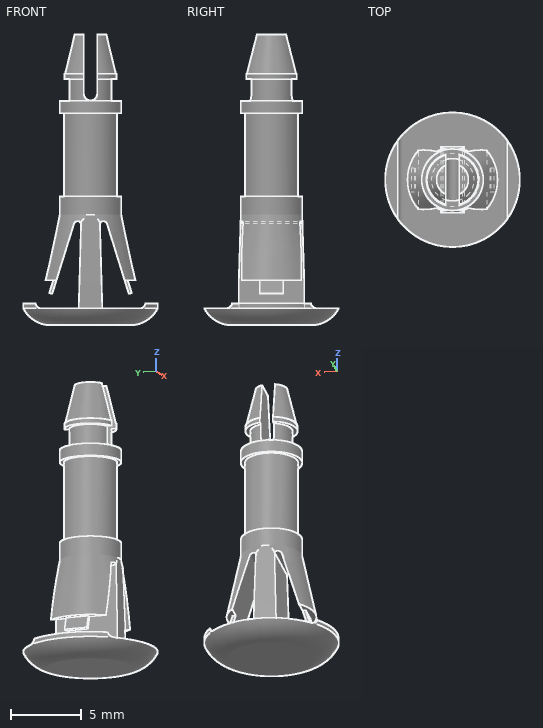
import cadquery as cq
import math

disk_radius = 4.77
disk_bottom_radius = 3.12
dome_mid_radius = 3.88
dome_mid_height = 0.27
floor_z = 1.2
rim_top_z = 1.55
rim_inner_x = 3.86

collar_radius = 2.18
shaft_radius = 1.9
neck_radius = 1.5
lip_radius = 1.85
head_base_radius = 1.8
tip_radius = 1.13
lower_collar_bottom_z = 7.8
lower_collar_top_z = 9.1
upper_collar_bottom_z = 14.96
upper_collar_top_z = 15.85
lip_bottom_z = 17.39
lip_top_z = 17.75
pin_top_z = 20.55

slot_width = 0.92
slot_bottom_z = 15.89

skirt_bottom_z = 3.16
skirt_bottom_radius = 3.19
gap_spring_z = 7.2
gap_crown_z = 7.34
leg_inner_top_x = 1.15
leg_inner_bottom_x = 2.4

tab_thickness = 0.23
tab_width = 1.69
tab_bottom_z = 2.2

post_bottom_half_width = 0.85
post_top_half_width = 0.65
post_bottom_half_depth = 2.32
post_straight_top_z = 3.1

through_length = 2 * disk_radius
leg_slope = (leg_inner_bottom_x - leg_inner_top_x) / (gap_spring_z - skirt_bottom_z)


def post_half_width(z):
    """Half of the post's X width, which tapers evenly with height."""
    taper = (post_bottom_half_width - post_top_half_width) / (lower_collar_bottom_z - floor_z)
    return post_bottom_half_width - taper * (z - floor_z)


def post_half_depth(z):
    """Half of the post's Y depth above its straight part, narrowing to the collar."""
    taper = (post_bottom_half_depth - collar_radius) / (lower_collar_bottom_z - post_straight_top_z)
    return post_bottom_half_depth - taper * (z - post_straight_top_z)


def make_skirt_cone():
    """Solid skirt cone below the lower collar."""
    outline = [
        (0, skirt_bottom_z),
        (skirt_bottom_radius, skirt_bottom_z),
        (collar_radius, lower_collar_bottom_z),
        (0, lower_collar_bottom_z),
    ]
    return cq.Workplane("XZ").polyline(outline).close().revolve(360, (0, 0), (0, 1))


def make_base():
    """Domed disk with a flat floor between two raised rims."""
    disk = (
        cq.Workplane("XZ")
        .lineTo(disk_bottom_radius, 0)
        .threePointArc((dome_mid_radius, dome_mid_height), (disk_radius, floor_z))
        .lineTo(disk_radius, rim_top_z)
        .lineTo(0, rim_top_z)
        .close()
        .revolve(360, (0, 0), (0, 1))
    )
    cove_radius = rim_top_z - floor_z
    cove_center_x = rim_inner_x - cove_radius
    cove_offset = cove_radius * math.sqrt(0.5)
    cove_mid = (cove_center_x + cove_offset, rim_top_z - cove_offset)
    channel = (
        cq.Workplane("XZ")
        .moveTo(-rim_inner_x, rim_top_z)
        .threePointArc((-cove_mid[0], cove_mid[1]), (-cove_center_x, floor_z))
        .lineTo(cove_center_x, floor_z)
        .threePointArc(cove_mid, (rim_inner_x, rim_top_z))
        .close()
        .extrude(through_length / 2, both=True)
    )
    return disk.cut(channel)


def make_pin():
    """Collars, shaft, neck and tapered head, split by the slot."""
    outline = [
        (0, lower_collar_bottom_z),
        (collar_radius, lower_collar_bottom_z),
        (collar_radius, lower_collar_top_z),
        (shaft_radius, lower_collar_top_z),
        (shaft_radius, upper_collar_bottom_z),
        (collar_radius, upper_collar_bottom_z),
        (collar_radius, upper_collar_top_z),
        (neck_radius, upper_collar_top_z),
        (neck_radius, lip_bottom_z),
        (lip_radius, lip_bottom_z),
        (lip_radius, lip_top_z),
        (head_base_radius, lip_top_z),
        (tip_radius, pin_top_z),
        (0, pin_top_z),
    ]
    pin = cq.Workplane("XZ").polyline(outline).close().revolve(360, (0, 0), (0, 1))
    slot_half = slot_width / 2
    slot = (
        cq.Workplane("XZ")
        .moveTo(-slot_half, pin_top_z)
        .lineTo(-slot_half, slot_bottom_z + slot_half)
        .threePointArc((0, slot_bottom_z), (slot_half, slot_bottom_z + slot_half))
        .lineTo(slot_half, pin_top_z)
        .close()
        .extrude(through_length / 2, both=True)
    )
    return pin.cut(slot)


def make_legs():
    """Two legs opened out of the skirt cone, trimmed flush with the post faces at the top."""
    post_edge = post_half_width(gap_spring_z)
    crown_x = (post_edge + leg_inner_top_x) / 2
    opening = (
        cq.Workplane("XZ")
        .moveTo(-leg_inner_bottom_x, skirt_bottom_z)
        .lineTo(-leg_inner_top_x, gap_spring_z)
        .threePointArc((-crown_x, gap_crown_z), (-post_edge, gap_spring_z))
        .lineTo(post_edge, gap_spring_z)
        .threePointArc((crown_x, gap_crown_z), (leg_inner_top_x, gap_spring_z))
        .lineTo(leg_inner_bottom_x, skirt_bottom_z)
        .close()
        .extrude(through_length / 2, both=True)
    )
    face_cut = (
        cq.Workplane("YZ")
        .polyline([
            (post_half_depth(gap_spring_z), gap_spring_z),
            (disk_radius, gap_spring_z),
            (disk_radius, lower_collar_bottom_z),
            (collar_radius, lower_collar_bottom_z),
        ])
        .close()
        .extrude(post_edge, both=True)
    )
    return make_skirt_cone().cut(opening).cut(face_cut).cut(face_cut.mirror("XZ"))


def make_tab():
    """Thin tab below the +X leg, starting inside the leg for a sound joint."""
    leg_angle = math.atan(leg_slope)
    root_z = skirt_bottom_z + tab_thickness
    root_x = leg_inner_bottom_x - leg_slope * tab_thickness
    end_x = leg_inner_bottom_x + leg_slope * (skirt_bottom_z - tab_bottom_z)
    across_x = tab_thickness * math.cos(leg_angle)
    across_z = tab_thickness * math.sin(leg_angle)
    outline = [
        (root_x, root_z),
        (end_x, tab_bottom_z),
        (end_x + across_x, tab_bottom_z + across_z),
        (root_x + across_x, root_z + across_z),
    ]
    return cq.Workplane("XZ").polyline(outline).close().extrude(tab_width / 2, both=True)


def make_post():
    """Post tapered in both directions; its top meets the solid part of the skirt cone."""
    top_half_width = post_half_width(gap_spring_z)
    top_half_depth = post_half_depth(gap_spring_z)
    front_outline = [
        (-post_bottom_half_width, floor_z),
        (post_bottom_half_width, floor_z),
        (top_half_width, gap_spring_z),
        (-top_half_width, gap_spring_z),
    ]
    side_outline = [
        (-post_bottom_half_depth, floor_z),
        (post_bottom_half_depth, floor_z),
        (post_bottom_half_depth, post_straight_top_z),
        (top_half_depth, gap_spring_z),
        (-top_half_depth, gap_spring_z),
        (-post_bottom_half_depth, post_straight_top_z),
    ]
    front = cq.Workplane("XZ").polyline(front_outline).close().extrude(through_length / 2, both=True)
    side = cq.Workplane("YZ").polyline(side_outline).close().extrude(through_length / 2, both=True)
    return front.intersect(side)


tab = make_tab()
result = (
    make_base()
    .union(make_post())
    .union(make_legs())
    .union(tab)
    .union(tab.mirror("YZ"))
    .union(make_pin())
)